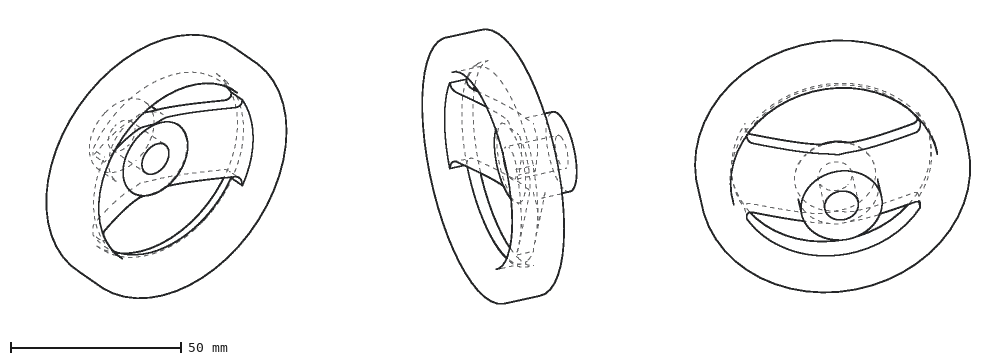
import cadquery as cq
import math

overall_width = 28.0
wheel_diameter = 80.0
rim_width = 12.8
rim_front = overall_width - rim_width
rim_bore_diameter = 61.6
rim_back_bore_diameter = 59.2
rim_edge_fillet = 0.8

hub_diameter = 24.0
hub_back = 16.3
bore_diameter = 10.0

web_cone_angle = 60.0
web_front_at_hub = 9.6
web_axial_thickness = 5.1
web_hub_fillet = 1.2
web_back_hub_fillet = 0.8
web_rim_fillet = 1.4

spoke_width = hub_diameter
window_corner_length = 51.2
window_corner_fillet = 1.6

wheel_radius = wheel_diameter / 2
hub_radius = hub_diameter / 2
rim_bore_radius = rim_bore_diameter / 2
rim_back_bore_radius = rim_back_bore_diameter / 2
web_depth = (rim_bore_radius - hub_radius) / math.tan(math.radians(web_cone_angle))
web_front_at_rim = web_front_at_hub + web_depth
web_back_at_hub = web_front_at_hub + web_axial_thickness
web_back_depth = (rim_back_bore_radius - hub_radius) / math.tan(math.radians(web_cone_angle))
web_back_at_rim = web_back_at_hub + web_back_depth


def round_edges(body, radius, places):
    """Fillet the circular edges that pass through the given (x, radius) places."""
    def matches(edge):
        middle = edge.Center()
        size = edge.radius()
        return any(math.hypot(middle.x - x, size - r) < 0.01 for x, r in places)

    circles = body.edges("%CIRCLE").filter(matches)
    return body.newObject(circles.vals()).fillet(radius)


def make_wheel():
    """Revolve the hub, web and rim, then round their edges."""
    section = [
        (0, 0),
        (0, hub_radius),
        (web_front_at_hub, hub_radius),
        (web_front_at_rim, rim_bore_radius),
        (rim_front, rim_bore_radius),
        (rim_front, wheel_radius),
        (overall_width, wheel_radius),
        (overall_width, rim_back_bore_radius),
        (web_back_at_rim, rim_back_bore_radius),
        (web_back_at_hub, hub_radius),
        (hub_back, hub_radius),
        (hub_back, 0),
    ]
    wheel = cq.Workplane("XY").polyline(section).close().revolve(360, (0, 0), (1, 0))
    wheel = round_edges(wheel, web_hub_fillet, [(web_front_at_hub, hub_radius)])
    wheel = round_edges(wheel, web_back_hub_fillet, [(web_back_at_hub, hub_radius)])
    wheel = round_edges(wheel, web_rim_fillet, [(web_front_at_rim, rim_bore_radius)])
    rim_edges = [
        (rim_front, rim_bore_radius),
        (rim_front, wheel_radius),
        (overall_width, rim_back_bore_radius),
        (overall_width, wheel_radius),
    ]
    return round_edges(wheel, rim_edge_fillet, rim_edges)


def make_window(side):
    """Cutter for the window above (side = 1) or below (side = -1) the spoke."""
    window_height = (rim_back_bore_diameter - spoke_width) / 2
    corridor = (
        cq.Workplane("YZ")
        .center(0, side * (spoke_width + window_height) / 2)
        .rect(window_corner_length, window_height)
        .extrude(overall_width)
        .edges("|X")
        .edges("<Z" if side > 0 else ">Z")
        .fillet(window_corner_fillet)
    )
    wall = cq.Workplane("YZ").circle(rim_back_bore_radius).extrude(overall_width)
    return corridor.intersect(wall)


result = make_wheel()
for side in (1, -1):
    result = result.cut(make_window(side))
result = result.cut(cq.Workplane("YZ").circle(bore_diameter / 2).extrude(overall_width))